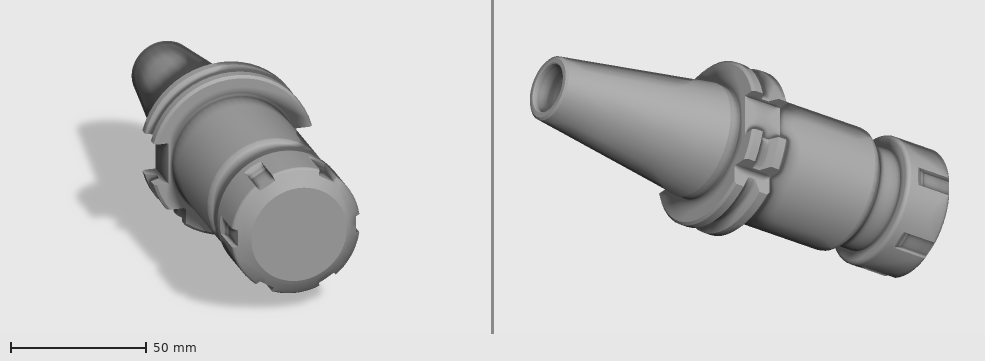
import cadquery as cq
import math


taper_length = 68.25
gauge_radius = 44.45 / 2
taper_slope = 7 / 48
taper_end_x = -1.0
relief_radius = 21.95
relief_fillet = 0.5
tip_chamfer = 0.8

bore_mouth_radius = 9.7
bore_mouth_chamfer = 0.4
bore_depth = 2.7
pilot_radius = 8.4
pilot_start = 5.7
pilot_depth = 8.2
thread_mouth_radius = 8.1
thread_mouth_depth = 8.7
thread_radius = 6.9
thread_start = 10.9
thread_depth = 30.0
drill_tip_half_angle = 59.0

flange_start_x = 3.2
flange_end_x = 19.1
flange_radius = 63.51 / 2
flange_chamfer = 1.0
groove_center_x = 11.1
groove_floor_radius = 28.1
groove_floor_half_width = 1.5
groove_half_angle = 30.0
groove_fillet = 0.5

keyway_width = 16.15
keyway_floor_front = 25.2
keyway_floor_back = 22.6
keyway_overrun = 0.4
notch_offset = 18.5
notch_fillet = 1.0

body_radius = 24.0
body_root_fillet = 1.0
neck_radius = 20.0
shoulder_end_x = 68.4
shoulder_top_fillet = 3.0
shoulder_root_fillet = 1.0

nut_start_x = 77.3
nut_end_x = 100.0
nut_radius = 25.0
nut_face_radius = 18.5
nut_bevel_angle = 60.0
nut_back_fillet = 1.5
nut_front_fillet = 1.5
slot_count = 6
slot_mouth_half_width = 3.75
slot_floor_half_width = 3.35
slot_floor_radius = 22.8
slot_start_x = 81.8
slot_ramp_angle = 35.0
slot_ramp_fillet = 3.5

cut_clearance = 1.0


def tangent_length(radius, turn_angle):
    """Distance from a sharp corner to where its fillet starts."""
    return radius * math.tan(math.radians(turn_angle) / 2)


def revolve_about_x(profile):
    return profile.close().revolve(360, (0, 0, 0), (1, 0, 0))


def edges_at(solid, x, radius):
    """Circular edges centred on the X axis at the given place and radius."""
    reach = 0.01
    found = []
    for edge in solid.edges("%CIRCLE").vals():
        center = edge.arcCenter()
        if abs(center.x - x) < reach and abs(edge.radius() - radius) < reach:
            found.append(edge)
    return solid.newObject(found)


def make_holder_blank():
    tip_radius = gauge_radius - taper_slope * taper_length
    taper_end_radius = gauge_radius + taper_slope * taper_end_x
    groove_depth = flange_radius - groove_floor_radius
    groove_half_width = groove_floor_half_width + groove_depth * math.tan(math.radians(groove_half_angle))
    shoulder_start_x = shoulder_end_x - (body_radius - neck_radius)
    blank = revolve_about_x(
        cq.Workplane("XY")
        .moveTo(-taper_length, 0)
        .lineTo(-taper_length, tip_radius - tip_chamfer)
        .lineTo(-taper_length + tip_chamfer, tip_radius + taper_slope * tip_chamfer)
        .lineTo(taper_end_x, taper_end_radius)
        .lineTo(0, relief_radius)
        .lineTo(flange_start_x, relief_radius)
        .lineTo(flange_start_x, flange_radius - flange_chamfer)
        .lineTo(flange_start_x + flange_chamfer, flange_radius)
        .lineTo(groove_center_x - groove_half_width, flange_radius)
        .lineTo(groove_center_x - groove_floor_half_width, groove_floor_radius)
        .lineTo(groove_center_x + groove_floor_half_width, groove_floor_radius)
        .lineTo(groove_center_x + groove_half_width, flange_radius)
        .lineTo(flange_end_x - flange_chamfer, flange_radius)
        .lineTo(flange_end_x, flange_radius - flange_chamfer)
        .lineTo(flange_end_x, body_radius)
        .lineTo(shoulder_start_x, body_radius)
        .lineTo(shoulder_end_x, neck_radius)
        .lineTo(nut_start_x, neck_radius)
        .lineTo(nut_start_x, 0)
    )
    rounded_corners = [
        (flange_start_x, relief_radius, relief_fillet),
        (groove_center_x - groove_floor_half_width, groove_floor_radius, groove_fillet),
        (groove_center_x + groove_floor_half_width, groove_floor_radius, groove_fillet),
        (flange_end_x, body_radius, body_root_fillet),
        (shoulder_start_x, body_radius, shoulder_top_fillet),
        (shoulder_end_x, neck_radius, shoulder_root_fillet),
    ]
    for x, radius, fillet in rounded_corners:
        blank = edges_at(blank, x, radius).fillet(fillet)
    return blank


def make_drawbar_bore():
    bore_radius = bore_mouth_radius - bore_mouth_chamfer
    drill_tip = thread_radius / math.tan(math.radians(drill_tip_half_angle))
    return revolve_about_x(
        cq.Workplane("XY", origin=(-taper_length, 0, 0))
        .lineTo(0, bore_mouth_radius)
        .lineTo(bore_mouth_chamfer, bore_radius)
        .lineTo(bore_depth, bore_radius)
        .lineTo(pilot_start, pilot_radius)
        .lineTo(pilot_depth, pilot_radius)
        .lineTo(thread_mouth_depth, thread_mouth_radius)
        .lineTo(thread_start, thread_radius)
        .lineTo(thread_depth, thread_radius)
        .lineTo(thread_depth + drill_tip, 0)
    )


def make_flange_cut(y_near, y_far, z_low, z_high, overrun=0):
    """Box through the flange thickness, plus an overrun behind it."""
    return (
        cq.Workplane("YZ", origin=(flange_start_x, 0, 0))
        .moveTo((y_near + y_far) / 2, (z_low + z_high) / 2)
        .rect(abs(y_far - y_near), z_high - z_low)
        .extrude(flange_end_x - flange_start_x + overrun)
    )


def make_holder():
    half_key = keyway_width / 2
    beyond = flange_radius + cut_clearance
    holder = make_holder_blank().cut(make_drawbar_bore())
    holder = holder.cut(make_flange_cut(-keyway_floor_front, -beyond, -half_key, half_key, keyway_overrun))
    holder = holder.cut(make_flange_cut(keyway_floor_back, beyond, -half_key, half_key, keyway_overrun))
    notch = make_flange_cut(-notch_offset, -beyond, -beyond, -notch_offset)
    notch = notch.edges("|X and >Y and >Z").fillet(notch_fillet)
    return holder.cut(notch)


def make_nut_blank():
    bevel_start_x = nut_end_x - (nut_radius - nut_face_radius) / math.tan(math.radians(nut_bevel_angle))
    blank = revolve_about_x(
        cq.Workplane("XY")
        .moveTo(nut_start_x, 0)
        .lineTo(nut_start_x, nut_radius)
        .lineTo(bevel_start_x, nut_radius)
        .lineTo(nut_end_x, nut_face_radius)
        .lineTo(nut_end_x, 0)
    )
    blank = edges_at(blank, nut_start_x, nut_radius).fillet(nut_back_fillet)
    return edges_at(blank, bevel_start_x, nut_radius).fillet(nut_front_fillet)


def make_wrench_slot():
    """Slot on the -Y side: ramped at the back, open to the front, walls leaning outward."""
    ramp = math.radians(slot_ramp_angle)
    beyond = nut_radius + cut_clearance
    ramp_foot_x = slot_start_x + (nut_radius - slot_floor_radius) / math.tan(ramp)
    ramp_top_x = slot_start_x - cut_clearance / math.tan(ramp)
    run_out = tangent_length(slot_ramp_fillet, slot_ramp_angle)
    wall_lean = (slot_mouth_half_width - slot_floor_half_width) / (nut_radius - slot_floor_radius)
    beyond_half_width = slot_mouth_half_width + wall_lean * cut_clearance
    length_profile = (
        cq.Workplane("XY", origin=(0, 0, -beyond_half_width))
        .moveTo(ramp_top_x, -beyond)
        .lineTo(ramp_foot_x - run_out * math.cos(ramp), -slot_floor_radius - run_out * math.sin(ramp))
        .radiusArc((ramp_foot_x + run_out, -slot_floor_radius), -slot_ramp_fillet)
        .lineTo(nut_end_x, -slot_floor_radius)
        .lineTo(nut_end_x, -beyond)
        .close()
        .extrude(2 * beyond_half_width)
    )
    cross_section = (
        cq.Workplane("YZ", origin=(nut_start_x, 0, 0))
        .moveTo(-slot_floor_radius, -slot_floor_half_width)
        .lineTo(-slot_floor_radius, slot_floor_half_width)
        .lineTo(-beyond, beyond_half_width)
        .lineTo(-beyond, -beyond_half_width)
        .close()
        .extrude(nut_end_x - nut_start_x)
    )
    return length_profile.intersect(cross_section)


def make_nut():
    nut = make_nut_blank()
    slot = make_wrench_slot()
    for index in range(slot_count):
        turn = index * 360 / slot_count
        nut = nut.cut(slot.rotate((0, 0, 0), (1, 0, 0), turn))
    return nut


holder = make_holder()
nut = make_nut()

result = cq.Compound.makeCompound([holder.val(), nut.val()])